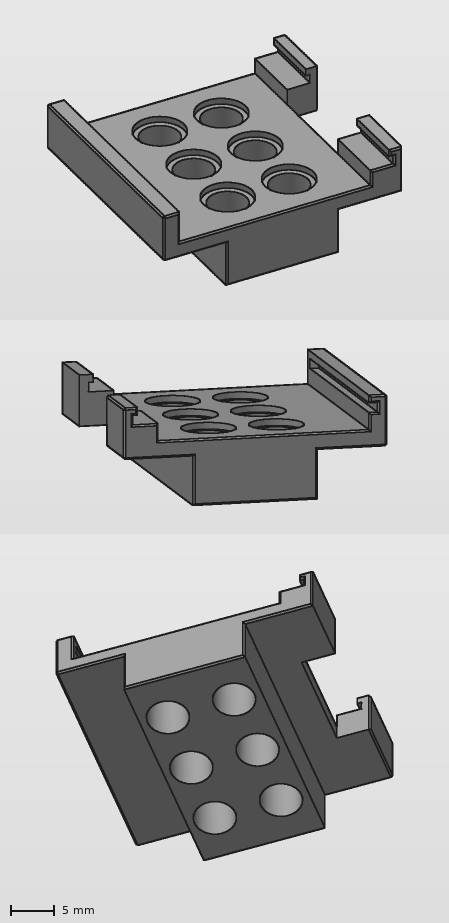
import cadquery as cq
import math

width = 27.6
length = 31.0
height = 11.75
edge_chamfer = 0.22

lip_depth = 0.9
ledge_depth = 2.0
floor_depth = 4.0
underside_depth = 5.98

rib_thickness = 1.1
front_rail_reach = 2.1
back_lip_reach = 1.6
back_step_reach = 4.05
foot_length = 14.63

gap_width = 12.0

groove_end_wall = 1.1
groove_end_slant = 15.0

hole_columns = 3
hole_rows = 2
hole_pitch = 8.0
hole_diameter = 4.9
counterbore_diameter = 6.3
counterbore_depth = 0.78

front = -length / 2
back = length / 2
end_x = width / 2
lip_z = height - lip_depth
ledge_z = height - ledge_depth
floor_z = height - floor_depth
underside_z = height - underside_depth


def make_body():
    """Extrude the cross-section of floor, rails and foot along X."""
    section = [
        (-foot_length / 2, 0),
        (foot_length / 2, 0),
        (foot_length / 2, underside_z),
        (back, underside_z),
        (back, height),
        (back - back_lip_reach, height),
        (back - back_lip_reach, lip_z),
        (back - rib_thickness, lip_z),
        (back - rib_thickness, ledge_z),
        (back - back_step_reach, ledge_z),
        (back - back_step_reach, floor_z),
        (front + front_rail_reach, floor_z),
        (front + front_rail_reach, height),
        (front, height),
        (front, underside_z),
        (-foot_length / 2, underside_z),
    ]
    return cq.Workplane("YZ").polyline(section).close().extrude(width / 2, both=True)


def cut_gap(body):
    """Open the middle of the back rail right through the floor."""
    gap = cq.Workplane("XY").box(gap_width, back_step_reach, height, centered=(True, False, False))
    return body.cut(gap.translate((0, back - back_step_reach, 0)))


def cut_front_groove(body):
    """Cut the groove under the front lip, open at -X and closed by a slanted wall at +X."""
    groove_back_y = front + rib_thickness
    groove_mouth_y = front + front_rail_reach
    closed_x = end_x - groove_end_wall
    slant_run = (groove_mouth_y - groove_back_y) * math.tan(math.radians(groove_end_slant))
    groove = (
        cq.Workplane("XY", origin=(0, 0, ledge_z))
        .moveTo(-end_x, groove_back_y)
        .lineTo(closed_x - slant_run, groove_back_y)
        .lineTo(closed_x, groove_mouth_y)
        .lineTo(-end_x, groove_mouth_y)
        .close()
        .extrude(lip_z - ledge_z)
    )
    return body.cut(groove)


def chamfer_outline(body):
    """Bevel both X ends, the front face and the back face of the -X tab."""
    outer_faces = body.faces("<X or >X or <Y")
    tab_back = body.faces(">Y").faces("<X")
    return outer_faces.add(tab_back).edges().chamfer(edge_chamfer)


def drill_holes(body):
    """Cut the grid of counterbored holes from the floor down through the foot."""
    return (
        body.copyWorkplane(cq.Workplane("XY", origin=(0, 0, floor_z)))
        .rarray(hole_pitch, hole_pitch, hole_columns, hole_rows)
        .cboreHole(hole_diameter, counterbore_diameter, counterbore_depth, floor_z)
    )


body = make_body()
body = cut_gap(body)
body = cut_front_groove(body)
body = chamfer_outline(body)
result = drill_holes(body)